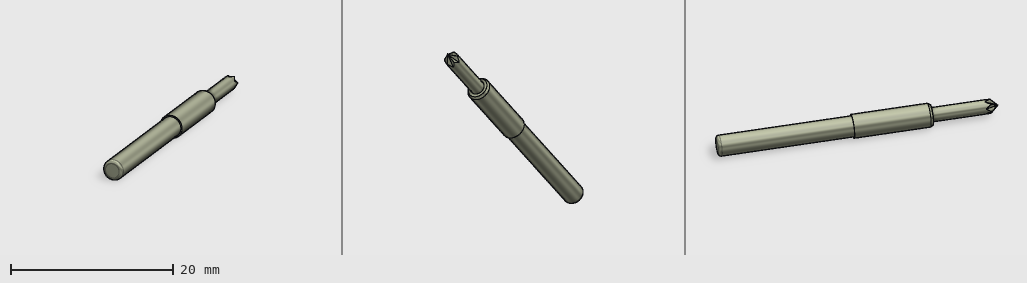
import cadquery as cq
import math

total_length = 35.3
collar_diameter = 3.0
collar_length = 9.95
shaft_diameter = 2.65
shaft_length = 17.0
pin_diameter = 1.8
collar_chamfer_length = 0.35
collar_chamfer_depth = 0.2
shaft_fillet = 0.4

ridge_count = 6
ridge_run = 0.92
groove_run = 1.62
star_length = 1.75

pin_length = total_length - shaft_length - collar_length
pin_radius = pin_diameter / 2


def rod(diameter, start, length):
    """Cylinder along +Y, beginning at Y = start."""
    return cq.Workplane("XZ", origin=(0, start, 0)).circle(diameter / 2).extrude(-length)


def star_pyramid():
    """Pyramid with its apex at the tip and a star base of alternating ridges and grooves."""
    apex = cq.Vector(0, total_length, 0)
    ridge_radius = pin_radius * star_length / ridge_run
    groove_radius = pin_radius * star_length / groove_run
    corners = []
    for i in range(2 * ridge_count):
        angle = math.pi * i / ridge_count
        radius = ridge_radius if i % 2 == 0 else groove_radius
        x = radius * math.cos(angle)
        z = radius * math.sin(angle)
        corners.append(cq.Vector(x, total_length - star_length, z))

    def face(points):
        return cq.Face.makeFromWires(cq.Wire.makePolygon(points, close=True))

    faces = [face(corners)]
    for i, corner in enumerate(corners):
        faces.append(face([corners[i - 1], corner, apex]))
    return cq.Workplane(cq.Solid.makeSolid(cq.Shell.makeShell(faces)))


shaft = rod(shaft_diameter, 0, shaft_length).faces("<Y").edges().fillet(shaft_fillet)

collar = rod(collar_diameter, shaft_length, collar_length)
collar = collar.faces(">Y").edges().chamfer(collar_chamfer_length, collar_chamfer_depth)

pin = rod(pin_diameter, shaft_length + collar_length, pin_length - star_length)
point = rod(pin_diameter, total_length - star_length, star_length).intersect(star_pyramid())

result = shaft.union(collar).union(pin).union(point)